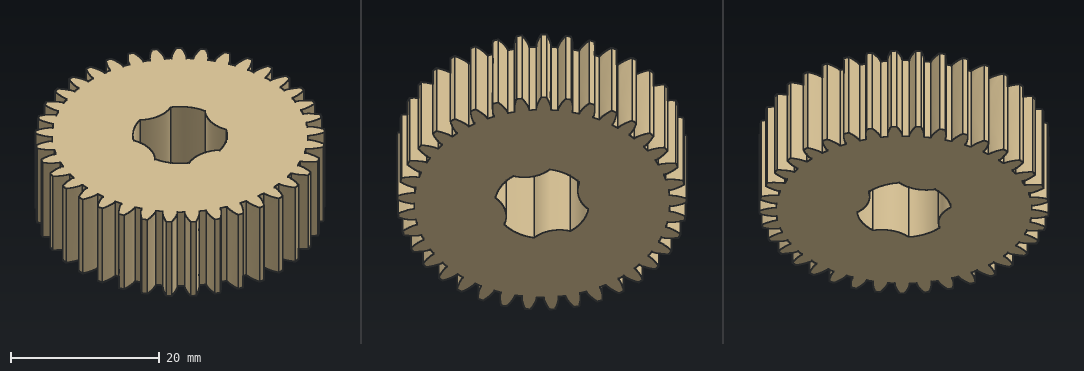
import cadquery as cq
import math

TOOTH_COUNT = 37
OUTER_RADIUS = 19.5
FACE_WIDTH = 12.5
PRESSURE_ANGLE = math.radians(20)
DEDENDUM_FACTOR = 1.25
FLANK_POINTS = 6

BORE_RADIUS = 6.35
BULGE_DISTANCE = 5.1
BULGE_RADIUS = 4.75
BULGE_COUNT = 4

MODULE = 2 * OUTER_RADIUS / (TOOTH_COUNT + 2)
PITCH_RADIUS = MODULE * TOOTH_COUNT / 2
ROOT_RADIUS = PITCH_RADIUS - DEDENDUM_FACTOR * MODULE
BASE_RADIUS = PITCH_RADIUS * math.cos(PRESSURE_ANGLE)
TOOTH_STEP = 2 * math.pi / TOOTH_COUNT


def polar(radius, angle):
    return (radius * math.cos(angle), radius * math.sin(angle))


def involute(pressure_angle):
    return math.tan(pressure_angle) - pressure_angle


def half_tooth_angle(radius):
    """Half of the angle filled by a tooth at a radius on its involute flank."""
    local_pressure_angle = math.acos(BASE_RADIUS / radius)
    return TOOTH_STEP / 4 + involute(PRESSURE_ANGLE) - involute(local_pressure_angle)


def flank_radii():
    """Radii from base circle to tip, spaced evenly in the involute's roll angle."""
    tip_roll = math.sqrt((OUTER_RADIUS / BASE_RADIUS) ** 2 - 1)
    rolls = [tip_roll * i / (FLANK_POINTS - 1) for i in range(FLANK_POINTS)]
    return [BASE_RADIUS * math.hypot(1, roll) for roll in rolls]


def gear_blank():
    radii = flank_radii()
    half_base = half_tooth_angle(BASE_RADIUS)
    profile = cq.Workplane("XY").moveTo(*polar(ROOT_RADIUS, -half_base))
    for tooth in range(TOOTH_COUNT):
        middle = tooth * TOOTH_STEP
        next_middle = middle + TOOTH_STEP
        rising = [polar(r, middle - half_tooth_angle(r)) for r in radii]
        falling = [polar(r, middle + half_tooth_angle(r)) for r in reversed(radii)]
        profile = (
            profile.lineTo(*rising[0])
            .spline(rising[1:], includeCurrent=True)
            .threePointArc(polar(OUTER_RADIUS, middle), falling[0])
            .spline(falling[1:], includeCurrent=True)
            .lineTo(*polar(ROOT_RADIUS, middle + half_base))
            .threePointArc(
                polar(ROOT_RADIUS, middle + TOOTH_STEP / 2),
                polar(ROOT_RADIUS, next_middle - half_base),
            )
        )
    return profile.close().extrude(FACE_WIDTH)


def bore():
    bulge_centre_distance = BULGE_DISTANCE + BULGE_RADIUS
    bulges = (
        cq.Workplane("XY")
        .polarArray(bulge_centre_distance, 0, 360, BULGE_COUNT)
        .circle(BULGE_RADIUS)
        .extrude(FACE_WIDTH)
    )
    return cq.Workplane("XY").circle(BORE_RADIUS).extrude(FACE_WIDTH).cut(bulges)


result = gear_blank().cut(bore())